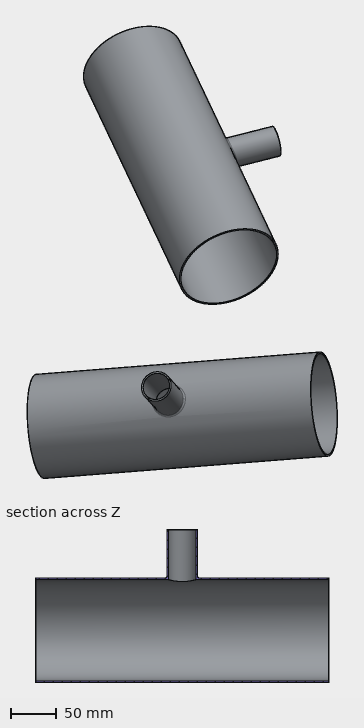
import cadquery as cq

pipe_length = 320.0
pipe_outer_diameter = 114.2
pipe_inner_diameter = 110.5

branch_outer_diameter = 33.5
branch_inner_diameter = 29.8
overall_depth = 167.0
branch_reach = overall_depth - pipe_outer_diameter / 2

joint_fillet_radius = 2.0


def rod_along_x(diameter):
    return cq.Workplane("YZ").circle(diameter / 2).extrude(pipe_length / 2, both=True)


def rod_along_y(diameter):
    return cq.Workplane("XZ").circle(diameter / 2).extrude(-branch_reach)


def rounded_joint(shape):
    foot_of_branch = (0, pipe_outer_diameter / 2, 0)
    saddle = cq.selectors.NearestToPointSelector(foot_of_branch)
    return shape.edges(saddle).fillet(joint_fillet_radius)


main_pipe = rod_along_x(pipe_outer_diameter)
branch = rod_along_y(branch_outer_diameter)
outer_shape = rounded_joint(main_pipe.union(branch))

main_bore = rod_along_x(pipe_inner_diameter)
branch_bore = rod_along_y(branch_inner_diameter)
result = outer_shape.cut(main_bore).cut(branch_bore)